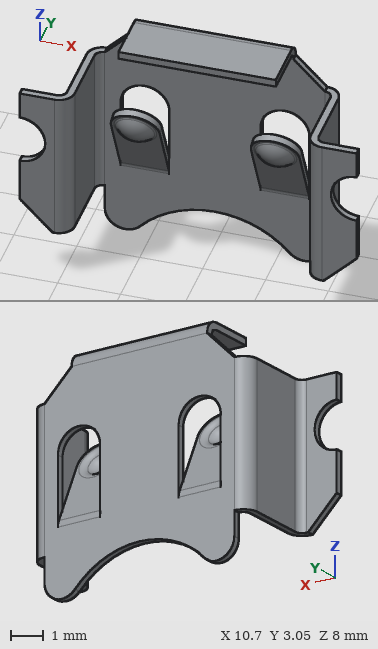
import cadquery as cq
import math


thickness = 0.25
bend_inner = 0.25
bend_outer = bend_inner + thickness

overall_width = 10.71
overall_depth = 3.05
overall_height = 8.0

plate_half_width = 3.5
flange_width = 5.0
flange_depth = 2.1
plate_top = overall_height - bend_outer
lobe_radius = 0.65
arch_height = 1.25

leg_bottom = 1.5
leg_top = 6.5
leg_inner_x = plate_half_width + bend_inner
leg_outer_x = leg_inner_x + thickness
foot_end_x = overall_width / 2
foot_chamfer = 1.05
notch_radius = 0.81
notch_height = 4.79

tab_spacing = 4.45
tab_width = 1.55
tab_tip_radius = tab_width / 2
tab_root_height = 2.37
tab_angle = math.radians(25)
tab_bend_inner = 0.3
tab_bend_outer = tab_bend_inner + thickness
tab_straight = 2.285
window_top = 5.5

dome_rim_radius = 0.675
dome_height = 0.31
dome_rim_bend = 0.08


def make_plate():
    """Flat back plate with chamfered shoulders and an arched lower edge."""
    half_flange = flange_width / 2
    lobe_x = plate_half_width - lobe_radius
    rise = arch_height - lobe_radius
    arch_radius = (lobe_x**2 + rise**2 - lobe_radius**2) / (2 * (rise + lobe_radius))
    arch_center_z = arch_height - arch_radius
    blend = lobe_radius / (arch_radius + lobe_radius)
    tangent_x = lobe_x * (1 - blend)
    tangent_z = lobe_radius + (arch_center_z - lobe_radius) * blend
    return (
        cq.Workplane("XZ")
        .moveTo(-half_flange, plate_top)
        .lineTo(half_flange, plate_top)
        .lineTo(plate_half_width, leg_top)
        .lineTo(plate_half_width, lobe_radius)
        .threePointArc((lobe_x, 0), (tangent_x, tangent_z))
        .threePointArc((0, arch_height), (-tangent_x, tangent_z))
        .threePointArc((-lobe_x, 0), (-plate_half_width, lobe_radius))
        .lineTo(-plate_half_width, leg_top)
        .close()
        .extrude(thickness)
    )


def make_flange():
    """Top flange, bent forward from the upper edge of the plate."""
    under = overall_height - thickness
    return (
        cq.Workplane("YZ", origin=(-flange_width / 2, 0, 0))
        .moveTo(0, plate_top)
        .radiusArc((-bend_outer, overall_height), -bend_outer)
        .lineTo(-flange_depth, overall_height)
        .lineTo(-flange_depth, under)
        .lineTo(-bend_outer, under)
        .radiusArc((-thickness, plate_top), bend_inner)
        .close()
        .extrude(flange_width)
    )


def make_leg():
    """Right-hand leg with its outward foot, notched and chamfered."""
    foot_back_y = -overall_depth + thickness
    foot_bend_x = leg_outer_x + bend_inner
    leg_end_y = -overall_depth + bend_outer
    leg = (
        cq.Workplane("XY", origin=(0, 0, leg_bottom))
        .moveTo(plate_half_width, 0)
        .radiusArc((leg_outer_x, -bend_outer), bend_outer)
        .lineTo(leg_outer_x, leg_end_y)
        .radiusArc((foot_bend_x, foot_back_y), -bend_inner)
        .lineTo(foot_end_x, foot_back_y)
        .lineTo(foot_end_x, -overall_depth)
        .lineTo(foot_bend_x, -overall_depth)
        .radiusArc((leg_inner_x, leg_end_y), bend_outer)
        .lineTo(leg_inner_x, -bend_outer)
        .radiusArc((plate_half_width, -thickness), -bend_inner)
        .close()
        .extrude(leg_top - leg_bottom)
    )
    notch = (
        cq.Workplane("XZ")
        .center(foot_end_x, notch_height)
        .circle(notch_radius)
        .extrude(overall_depth)
    )
    corner = (
        cq.Workplane("XZ")
        .moveTo(foot_end_x, leg_bottom)
        .lineTo(foot_end_x, leg_bottom + foot_chamfer)
        .lineTo(foot_end_x - foot_chamfer, leg_bottom)
        .close()
        .extrude(overall_depth)
    )
    return leg.cut(notch).cut(corner)


def make_window(x):
    """Round-topped opening in the plate behind one tab."""
    arc_z = window_top - tab_tip_radius
    return (
        cq.Workplane("XZ")
        .moveTo(x - tab_tip_radius, tab_root_height)
        .lineTo(x + tab_tip_radius, tab_root_height)
        .lineTo(x + tab_tip_radius, arc_z)
        .threePointArc((x, window_top), (x - tab_tip_radius, arc_z))
        .close()
        .extrude(thickness)
    )


def make_dome(plane):
    """Pressed dome of constant thickness, revolved about the normal of the given plane."""
    cap_outer = (dome_rim_radius**2 + dome_height**2) / (2 * dome_height) - dome_rim_bend
    cap_inner = cap_outer - thickness
    cap_center = dome_height - cap_outer
    cap_angle = math.asin(dome_rim_radius / (cap_outer + dome_rim_bend))
    rim_back_bend = dome_rim_bend + thickness

    def on_cap(radius):
        return (radius * math.sin(cap_angle), cap_center + radius * math.cos(cap_angle))

    section_plane = cq.Plane(origin=plane.origin, xDir=plane.xDir, normal=-plane.yDir)
    return (
        cq.Workplane(section_plane)
        .moveTo(dome_rim_radius, 0)
        .radiusArc(on_cap(cap_outer), dome_rim_bend)
        .radiusArc((0, dome_height), -cap_outer)
        .lineTo(0, dome_height - thickness)
        .radiusArc(on_cap(cap_inner), cap_inner)
        .radiusArc((dome_rim_radius, -thickness), -rim_back_bend)
        .close()
        .revolve(360, (0, 0), (0, 1))
    )


def make_tab(x):
    """Spring tab leaning forward, with a round tip and a contact dome."""
    sin_a = math.sin(tab_angle)
    cos_a = math.cos(tab_angle)
    bend_y = -thickness - tab_bend_inner

    def on_bend(radius):
        return (bend_y + radius * cos_a, tab_root_height + radius * sin_a)

    front_end = on_bend(tab_bend_inner)
    bend = (
        cq.Workplane("YZ", origin=(x - tab_tip_radius, 0, 0))
        .moveTo(-thickness, tab_root_height)
        .lineTo(0, tab_root_height)
        .radiusArc(on_bend(tab_bend_outer), -tab_bend_outer)
        .lineTo(*front_end)
        .radiusArc((-thickness, tab_root_height), tab_bend_inner)
        .close()
        .extrude(tab_width)
    )

    tip_plane = cq.Plane(
        origin=(x, front_end[0] - tab_straight * sin_a, front_end[1] + tab_straight * cos_a),
        xDir=(1, 0, 0),
        normal=(0, -cos_a, -sin_a),
    )
    blade = (
        cq.Workplane(tip_plane)
        .moveTo(-tab_tip_radius, -tab_straight)
        .lineTo(tab_tip_radius, -tab_straight)
        .lineTo(tab_tip_radius, 0)
        .threePointArc((0, tab_tip_radius), (-tab_tip_radius, 0))
        .close()
        .extrude(-thickness)
    )
    dome_seat = cq.Workplane(tip_plane).circle(dome_rim_radius).extrude(-thickness)
    return bend.union(blade.cut(dome_seat).union(make_dome(tip_plane)))


right_leg = make_leg()
left_leg = right_leg.mirror("YZ")

result = make_plate().union(make_flange()).union(right_leg).union(left_leg)
for tab_x in (-tab_spacing / 2, tab_spacing / 2):
    result = result.cut(make_window(tab_x)).union(make_tab(tab_x))